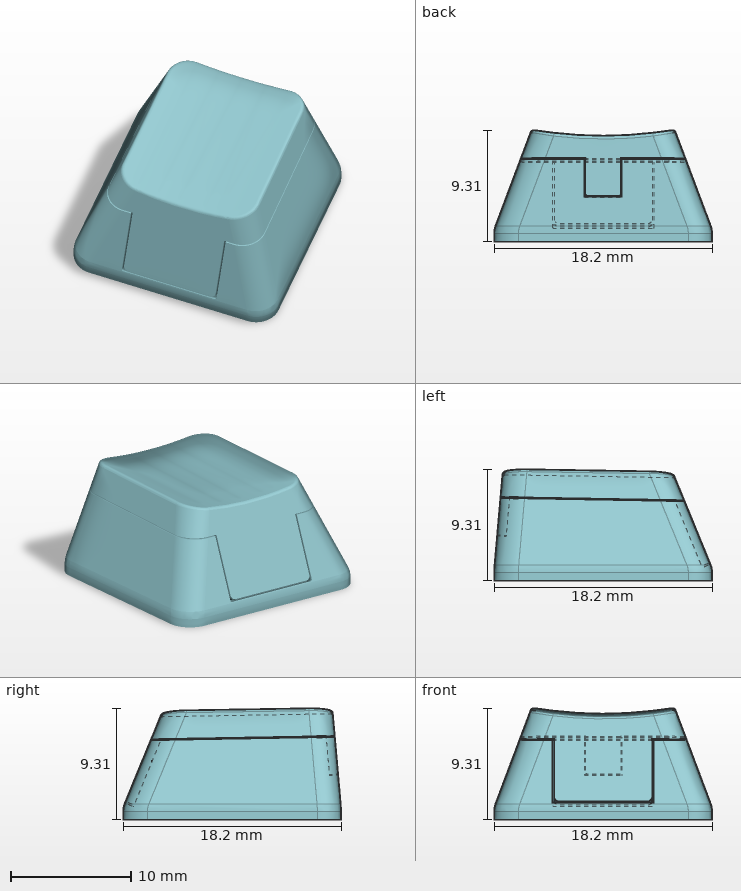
import cadquery as cq
import math

HALF_WIDTH = 9.08
SKIRT_Z = 0.73
WALL_Z = 1.33
SIDE_SLOPE = 20.6
FRONT_SLOPE = 22.3
BACK_SLOPE = 5.0
CORNER_RADIUS = 2.0
SHOULDER_STEPS = 4

TOP_TILT = 1.0
DISH_RADIUS = 34.5
DISH_Z = 8.72
RIM_FILLET = 0.29
BLANK_HEIGHT = 10.9

SEAM_Z = 6.75
SEAM_GAP = 0.09
SEAT_WIDTH = 10.9
SEAT_LENGTH = 12.35
SEAT_Y = 0.9
SEAT_HEIGHT = 0.36

TAB_DEPTH = 0.75
TAB_TOP = 6.54
FRONT_TAB_WIDTH = 8.17
FRONT_TAB_BOTTOM = 0.24
FRONT_TAB_GAP = 0.15
FRONT_TAB_RADIUS = 0.4
FRONT_RECESS_RADIUS = 0.15
BACK_TAB_WIDTH = 2.95
BACK_TAB_BOTTOM = 2.55
BACK_TAB_RADIUS = 0.09

RIM_MIN_Z = 8.17
LARGE = 36.32


def wall_inset(slope, height):
    """How far a wall lies inside the footprint at this height.

    The skirt bends inwards along an arc and runs on as a straight wall.
    """
    angle = math.radians(slope)
    arc_radius = (WALL_Z - SKIRT_Z) / math.sin(angle)
    if height < WALL_Z:
        return arc_radius - math.sqrt(arc_radius**2 - (height - SKIRT_Z) ** 2)
    return arc_radius * (1 - math.cos(angle)) + (height - WALL_Z) * math.tan(angle)


def section(height):
    """Rounded rectangle that the walls enclose at this height."""
    half_width = HALF_WIDTH - wall_inset(SIDE_SLOPE, height)
    front = -HALF_WIDTH + wall_inset(FRONT_SLOPE, height)
    back = HALF_WIDTH - wall_inset(BACK_SLOPE, height)
    outline = cq.Sketch().rect(2 * half_width, back - front).vertices().fillet(CORNER_RADIUS)
    return outline.moved(cq.Location(cq.Vector(0, (front + back) / 2, height)))


def loft_between(bottom, top, steps):
    """Loft through evenly spaced sections, with straight sides when there is one step."""
    heights = [bottom + (top - bottom) * step / steps for step in range(steps + 1)]
    return cq.Workplane().placeSketch(*[section(height) for height in heights]).loft(ruled=steps == 1)


def tilted(shape, height):
    """Tilt a shape made around the origin and lift it onto the key's middle."""
    return shape.rotate((0, 0, 0), (1, 0, 0), TOP_TILT).translate((0, 0, height))


def keycap_body():
    """Outer shape of base and cap together."""
    skirt = cq.Workplane().placeSketch(section(SKIRT_Z)).extrude(-SKIRT_Z)
    shoulder = loft_between(SKIRT_Z, WALL_Z, SHOULDER_STEPS)
    walls = loft_between(WALL_Z, BLANK_HEIGHT, 1)
    body = skirt.union(shoulder).union(walls)

    dish = cq.Workplane("XZ").center(0, DISH_RADIUS).circle(DISH_RADIUS).extrude(LARGE, both=True)
    body = body.cut(tilted(dish, DISH_Z))

    dish_face = cq.selectors.BoxSelector((-LARGE, -LARGE, RIM_MIN_Z), (LARGE, LARGE, LARGE))
    return body.faces(dish_face).edges().fillet(RIM_FILLET)


def half_space(height, side):
    """Everything above (side 1) or below (side -1) a tilted plane at this height."""
    block = cq.Workplane().rect(LARGE, LARGE).extrude(side * LARGE)
    return tilted(block, height)


def wall_plane(slope, side):
    """Plane on the front (side -1) or back (side 1) wall.

    Its origin is at the bottom of the wall and its Y axis runs up the slope.
    """
    angle = math.radians(slope)
    return cq.Plane(
        origin=(0, side * (HALF_WIDTH - wall_inset(slope, WALL_Z)), WALL_Z),
        xDir=(-side, 0, 0),
        normal=(0, side * math.cos(angle), math.sin(angle)),
    )


def tab_block(wall, width, bottom, corner_radius):
    """Block sunk square into a wall to the tab depth, with rounded corners.

    It also stands proud of the wall, so that the keycap's own surface trims it.
    """
    outline = cq.Sketch().rect(width, TAB_TOP - bottom).vertices().fillet(corner_radius)
    middle = cq.Location(cq.Vector(0, (bottom + TAB_TOP) / 2, 0))
    return cq.Workplane(wall).placeSketch(outline.moved(middle)).extrude(TAB_DEPTH, both=True)


def front_tab(gap=0.0, corner_radius=FRONT_TAB_RADIUS):
    """Front tab, or its recess when a gap is added around it."""
    wall = wall_plane(FRONT_SLOPE, -1)
    return tab_block(wall, FRONT_TAB_WIDTH + 2 * gap, FRONT_TAB_BOTTOM - gap, corner_radius)


def back_tab(gap=0.0):
    """Back tab, or its recess when a gap is added around it."""
    wall = wall_plane(BACK_SLOPE, 1)
    return tab_block(wall, BACK_TAB_WIDTH + 2 * gap, BACK_TAB_BOTTOM - gap, BACK_TAB_RADIUS)


def make_base(body):
    """Lower body, with a recess for each tab and a raised seat under the cap."""
    base = body.cut(half_space(SEAM_Z, 1))
    base = base.cut(front_tab(FRONT_TAB_GAP, FRONT_RECESS_RADIUS)).cut(back_tab(SEAM_GAP))
    seat = cq.Workplane().center(0, SEAT_Y).rect(SEAT_WIDTH, SEAT_LENGTH).extrude(-SEAT_HEIGHT)
    return base.union(tilted(seat, SEAM_Z + SEAM_GAP))


def make_cap(body):
    """Upper body, with a tab hanging down the front wall and one down the back wall."""
    tabs = front_tab().union(back_tab())
    below_cap = half_space(SEAM_Z + SEAM_GAP, -1).cut(tabs)
    return body.cut(below_cap)


keycap = keycap_body()
base = make_base(keycap)
cap = make_cap(keycap)
result = cq.Compound.makeCompound([base.solids().val(), cap.solids().val()])